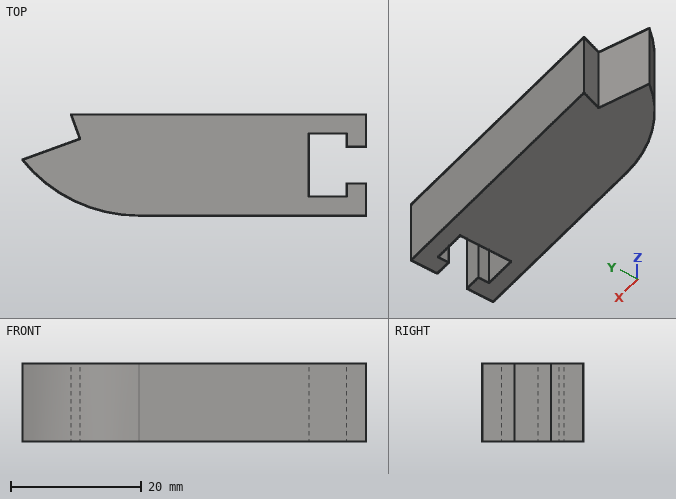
import cadquery as cq
import math

length = 52.8
width = 15.6
height = 12.0

nose_length = 17.9
tip_y = 8.6
notch_angle = math.radians(20)
notch_edge = 9.4

wall = 2.95
lip_thickness = 3.0
slot_depth = 8.8
mouth_width = 5.6


def make_body():
    """Extrude the outline with its rounded nose and V notch."""
    nose_radius = (nose_length**2 + tip_y**2) / (2 * tip_y)
    half_sweep = math.atan2(tip_y, nose_length)
    arc_middle = (
        nose_length - nose_radius * math.sin(half_sweep),
        nose_radius * (1 - math.cos(half_sweep)),
    )
    notch_x = notch_edge * math.cos(notch_angle)
    notch_y = tip_y + notch_edge * math.sin(notch_angle)
    back_corner_x = notch_x - (width - notch_y) * math.tan(notch_angle)
    return (
        cq.Workplane("XY")
        .moveTo(nose_length, 0)
        .lineTo(length, 0)
        .lineTo(length, width)
        .lineTo(back_corner_x, width)
        .lineTo(notch_x, notch_y)
        .lineTo(0, tip_y)
        .threePointArc(arc_middle, (nose_length, 0))
        .close()
        .extrude(height)
    )


def end_box(x_start, x_end, box_width):
    """Full-height box centred on the width of the block."""
    box_length = x_end - x_start
    return (
        cq.Workplane("XY")
        .center((x_start + x_end) / 2, width / 2)
        .rect(box_length, box_width)
        .extrude(height)
    )


cavity = end_box(length - slot_depth, length - lip_thickness, width - 2 * wall)
mouth = end_box(length - slot_depth, length, mouth_width)

result = make_body().cut(cavity).cut(mouth)